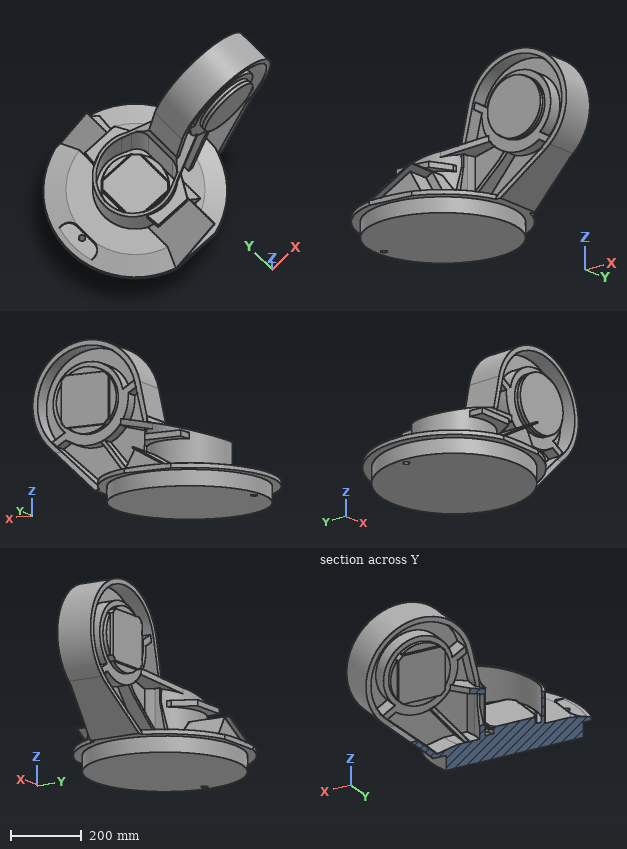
import cadquery as cq
import math

DRUM_RADIUS = 467.0 / 2
FLANGE_BOTTOM = 47.0
RIM_TOP = 60.0
FLANGE_TOP = 74.0
FLANGE_RADIUS = 259.0
PLATEAU_RADIUS = 196.0
FLANGE_FLAT = 248.0

POCKET_FLOOR = 64.0
POCKET_INNER_X = -194.0
POCKET_HALF_WIDTH = 66.0
POCKET_CORNER = 31.5
PIN_HOLE_DIAMETER = 18.0
PIN_HOLE_X = -208.0

CUP_RADIUS = 120.5
BORE_RADIUS = 110.0
BORE_FLAT_X = 98.0
BORE_TAPER_ANGLE = 22.5
BORE_CORNER = 44.0
BORE_FLOOR = 81.0
RIM_ANGLE = 15.0
RIM_LOW_Z = 169.0

MOTOR_FLANGE_RADIUS = 193.0 / 2
MOTOR_FLANGE_HEIGHT = 12.0
MOTOR_SQUARE_HEIGHT = 9.0
CUP_MOTOR_SQUARE = 156.0
CUP_MOTOR_CORNER = 20.5
CUP_MOTOR_BEVEL = 4.0
ARM_MOTOR_SQUARE = 151.0
ARM_MOTOR_CORNER = 14.0
CAP_BASE_RADIUS = 185.0 / 2
CAP_BASE_HEIGHT = 10.0
CAP_RADIUS = 186.0 / 2
CAP_HEIGHT = 11.0

LUG_BOTTOM = 159.0
LUG_TOP = 177.0
LUG_REACH = 150.0
LUG_LEFT_ROOT = (-56.5, -106.5)
LUG_LEFT_TIP_X = -53.0
LUG_RIGHT_TIP_X = 62.0
LUG_RIGHT_ROOT = (98.5, -84.5)

HEAD_X = 300.0
HEAD_Z = 315.0
HEAD_RADIUS = 175.0
RECESS_RADIUS = 158.5
ARM_HALF_WIDTH = 56.0
ARM_FOOT_HALF_WIDTH = 81.5
FLARE_TOP = 174.0
ARM_LEFT_X = 106.0
ARM_KNEE_Z = 244.0
ARM_ROOT_X = 88.0
ARM_ROOT_TOP = 220.0
ARM_FOOT_X = 263.0
RECESS_LEFT_X = 114.0
RECESS_KNEE = (120.5, 244.0)
RECESS_FOOT_X = 236.5
RECESS_BEND_Z = 212.0
WEB_HALF = 9.0
UPPER_WEB_HALF = 3.0
THROAT_RADIUS = 37.0
THROAT_START_X = 84.5
THROAT_END = (107.0, 251.0)
THROAT_DEPTH = 15.0
THROAT_RIM_HALF_WIDTH = 84.5

BOSS_HALF = 47.0
BOSS_UPPER_RADIUS = 226.0 / 2
BOSS_LOWER_RADIUS = 128.5
CROSS_RIB_ANGLE = -30.0
CROSS_RIB_BOTTOM = -56.0
CROSS_RIB_TOP = -35.0

SLANT_PLATE_THICKNESS = 17.5
SLANT_PLATE_START_X = 65.0
SLANT_PLATE_END_X = 216.5
SLANT_PLATE_ANGLE = 22.5
DIAGONAL_RIB_FOOT_X = 145.0
DIAGONAL_RIB_ANGLE = 50.0
DIAGONAL_RIB_THICKNESS = 12.0
DIAGONAL_RIB_SETBACK = 10.0

RAMP_ANGLE = 30.0
RAMP_SKIN = 4.0
FRONT_RAMP_X = -78.0
FRONT_RAMP_TOP_X = 71.0
FRONT_RAMP_FULL_BLOCK = 148.0
FRONT_RAMP_SHORT_BLOCK = 223.0
FRONT_RAMP_LEG_SETBACK = 26.0
BACK_RAMP_X = -58.0
BACK_RAMP_TOP_X = 47.0
BACK_RAMP_BLOCK = 231.0

BIG = 734.0


def xz_prism(sketch, y_low, y_high):
    """Extrude a wire drawn on the XZ plane between two Y values."""
    return sketch.extrude(-(y_high - y_low)).translate((0, y_low, 0))


def xz_polygon(points, y_low, y_high):
    return xz_prism(cq.Workplane("XZ").polyline(points).close(), y_low, y_high)


def tangent_point(point, centre, radius, side):
    """Point where a line from `point` touches a circle; side is +1 or -1."""
    dx = point[0] - centre[0]
    dz = point[1] - centre[1]
    angle = math.atan2(dz, dx) + side * math.acos(radius / math.hypot(dx, dz))
    return (centre[0] + radius * math.cos(angle), centre[1] + radius * math.sin(angle))


def head_outline(foot_points, knee, right_foot, centre, radius):
    """Outline that rises on the left, wraps the head and returns to the right foot."""
    left = tangent_point(knee, centre, radius, -1)
    right = tangent_point(right_foot, centre, radius, 1)
    return (
        cq.Workplane("XZ")
        .polyline(foot_points + [knee, left])
        .threePointArc((centre[0], centre[1] + radius), right)
        .lineTo(*right_foot)
        .close()
    )


def rim_z(x):
    """Height of the slanted cup rim."""
    return RIM_LOW_Z + (x + CUP_RADIUS) * math.tan(math.radians(RIM_ANGLE))


def make_base():
    profile = [
        (0, 0),
        (DRUM_RADIUS, 0),
        (DRUM_RADIUS, FLANGE_BOTTOM),
        (FLANGE_RADIUS, FLANGE_BOTTOM),
        (FLANGE_RADIUS, RIM_TOP),
        (PLATEAU_RADIUS, FLANGE_TOP),
        (0, FLANGE_TOP),
    ]
    body = cq.Workplane("XZ").polyline(profile).close().revolve(360, (0, 0, 0), (0, 1, 0))
    return body.intersect(cq.Workplane("XY").box(BIG, 2 * FLANGE_FLAT, BIG))


def make_flange_pocket():
    length = FLANGE_RADIUS + POCKET_INNER_X
    return (
        cq.Workplane("XY", origin=(POCKET_INNER_X - length / 2, 0, POCKET_FLOOR))
        .rect(length, 2 * POCKET_HALF_WIDTH)
        .extrude(FLANGE_TOP)
        .edges("|Z and >X")
        .fillet(POCKET_CORNER)
    )


def make_cup():
    cup = cq.Workplane("XY", origin=(0, 0, FLANGE_BOTTOM)).circle(CUP_RADIUS).extrude(BIG)
    rim = [
        (-CUP_RADIUS, 0),
        (CUP_RADIUS, 0),
        (CUP_RADIUS, rim_z(CUP_RADIUS)),
        (-CUP_RADIUS, RIM_LOW_Z),
    ]
    return cup.intersect(xz_polygon(rim, -CUP_RADIUS, CUP_RADIUS))


def make_bore():
    """Round bore whose arm side narrows along two tangents to a flat with rounded corners."""
    angle = math.radians(BORE_TAPER_ANGLE)
    start = (BORE_RADIUS * math.sin(angle), BORE_RADIUS * math.cos(angle))
    flat_y = start[1] - (BORE_FLAT_X - start[0]) * math.tan(angle)
    return (
        cq.Workplane("XY", origin=(0, 0, BORE_FLOOR))
        .moveTo(*start)
        .threePointArc((-BORE_RADIUS, 0), (start[0], -start[1]))
        .lineTo(BORE_FLAT_X, -flat_y)
        .lineTo(BORE_FLAT_X, flat_y)
        .close()
        .extrude(BIG)
        .edges("|Z and >X")
        .fillet(BORE_CORNER)
    )


def motor_flange(plane):
    return plane.circle(MOTOR_FLANGE_RADIUS).extrude(MOTOR_FLANGE_HEIGHT)


def motor_square(plane, size):
    return plane.rect(size, size).extrude(MOTOR_FLANGE_HEIGHT + MOTOR_SQUARE_HEIGHT)


def make_cup_motor():
    plane = cq.Workplane("XY", origin=(0, 0, BORE_FLOOR))
    square = motor_square(plane, CUP_MOTOR_SQUARE).edges("|Z").chamfer(CUP_MOTOR_CORNER)
    return motor_flange(plane).union(square.faces(">Z").edges().chamfer(CUP_MOTOR_BEVEL))


def make_lug():
    outline = [
        (LUG_LEFT_ROOT[0], 0),
        LUG_LEFT_ROOT,
        (LUG_LEFT_TIP_X, -LUG_REACH),
        (LUG_RIGHT_TIP_X, -LUG_REACH),
        LUG_RIGHT_ROOT,
        (LUG_RIGHT_ROOT[0], 0),
    ]
    lug = cq.Workplane("XY", origin=(0, 0, LUG_BOTTOM)).polyline(outline).close()
    return lug.extrude(LUG_TOP - LUG_BOTTOM)


def arm_envelope(setback):
    """Cross-section limits of the arm: straight above, flared towards the foot."""
    top = ARM_HALF_WIDTH - setback
    foot = ARM_FOOT_HALF_WIDTH - setback
    section = [
        (-foot, FLANGE_BOTTOM),
        (foot, FLANGE_BOTTOM),
        (top, FLARE_TOP),
        (top, BIG),
        (-top, BIG),
        (-top, FLARE_TOP),
    ]
    return cq.Workplane("YZ").polyline(section).close().extrude(BIG)


def make_arm():
    outer = head_outline(
        [(ARM_ROOT_X, FLANGE_BOTTOM), (ARM_ROOT_X, ARM_ROOT_TOP), (ARM_LEFT_X, ARM_ROOT_TOP)],
        (ARM_LEFT_X, ARM_KNEE_Z),
        (ARM_FOOT_X, FLANGE_BOTTOM),
        (HEAD_X, HEAD_Z),
        HEAD_RADIUS,
    )
    return xz_prism(outer, -BIG, BIG).intersect(arm_envelope(0))


def make_recess(y_low, y_high):
    inner = head_outline(
        [(RECESS_LEFT_X, FLANGE_BOTTOM), (RECESS_LEFT_X, RECESS_BEND_Z)],
        RECESS_KNEE,
        (RECESS_FOOT_X, FLANGE_BOTTOM),
        (HEAD_X, HEAD_Z),
        RECESS_RADIUS,
    )
    return xz_prism(inner, y_low, y_high)


def head_slab(low, high):
    """Slab across the head, tilted with the cross rib, between two offsets from the head axis."""
    slab = cq.Workplane("XZ").center(0, (low + high) / 2).rect(BIG, high - low).extrude(BOSS_HALF, both=True)
    return slab.rotate((0, 0, 0), (0, 1, 0), -CROSS_RIB_ANGLE).translate((HEAD_X, 0, HEAD_Z))


def head_disc(radius):
    return cq.Workplane("XZ", origin=(HEAD_X, 0, HEAD_Z)).circle(radius).extrude(BOSS_HALF, both=True)


def make_boss():
    upper = head_disc(BOSS_UPPER_RADIUS).intersect(head_slab(CROSS_RIB_BOTTOM, BIG))
    lower = head_disc(BOSS_LOWER_RADIUS).intersect(head_slab(-BIG, CROSS_RIB_TOP))
    rib = head_slab(CROSS_RIB_BOTTOM, CROSS_RIB_TOP).intersect(make_recess(-BIG, BIG))
    return upper.union(lower).union(rib)


def make_arm_motor():
    front = cq.Workplane("XZ", origin=(HEAD_X, -BOSS_HALF, HEAD_Z))
    back = cq.Workplane("XZ", origin=(HEAD_X, BOSS_HALF, HEAD_Z)).transformed(rotate=(180, 0, 0))
    cap = front.circle(CAP_BASE_RADIUS).extrude(CAP_BASE_HEIGHT)
    cap = cap.union(cap.faces("<Y").workplane().circle(CAP_RADIUS).extrude(CAP_HEIGHT))
    square = motor_square(back, ARM_MOTOR_SQUARE).edges("|Y").chamfer(ARM_MOTOR_CORNER)
    return cap.union(motor_flange(back)).union(square)


def make_slant_plate():
    angle = math.radians(SLANT_PLATE_ANGLE)
    x0 = SLANT_PLATE_START_X
    y0 = math.sqrt(CUP_RADIUS**2 - x0**2)
    x1 = SLANT_PLATE_END_X
    y1 = y0 - (x1 - x0) * math.tan(angle)
    plan = [(x0, y0), (x1, y1), (x1, -y1), (x0, -y0)]
    drop = SLANT_PLATE_THICKNESS / math.cos(math.radians(RIM_ANGLE))
    strip = [(x0, rim_z(x0)), (x1, rim_z(x1)), (x1, rim_z(x1) - drop), (x0, rim_z(x0) - drop)]
    return xz_polygon(strip, -CUP_RADIUS, CUP_RADIUS).intersect(
        cq.Workplane("XY").polyline(plan).close().extrude(BIG)
    )


def make_diagonal_rib():
    rib = (
        cq.Workplane("XZ")
        .center(0, -DIAGONAL_RIB_THICKNESS / 2)
        .rect(BIG / 2, DIAGONAL_RIB_THICKNESS)
        .extrude(BIG, both=True)
        .rotate((0, 0, 0), (0, 1, 0), -DIAGONAL_RIB_ANGLE)
        .translate((DIAGONAL_RIB_FOOT_X, 0, FLANGE_TOP))
    )
    below_head = cq.Workplane("XY").box(HEAD_X, BIG, HEAD_Z - BOSS_UPPER_RADIUS, centered=(False, True, False))
    return rib.intersect(arm_envelope(DIAGONAL_RIB_SETBACK)).intersect(below_head)


def make_throat():
    """Concave fillet between the slanted cup rim and the arm wall, wider at the rim."""
    start = (THROAT_START_X, rim_z(THROAT_START_X))
    sketch = (
        cq.Workplane("XZ")
        .moveTo(*start)
        .radiusArc(THROAT_END, -THROAT_RADIUS)
        .lineTo(THROAT_END[0], ARM_ROOT_TOP - THROAT_DEPTH)
        .lineTo(THROAT_START_X, ARM_ROOT_TOP - THROAT_DEPTH)
        .close()
    )
    plan = [
        (THROAT_START_X, THROAT_RIM_HALF_WIDTH),
        (THROAT_END[0], ARM_HALF_WIDTH),
        (THROAT_END[0], -ARM_HALF_WIDTH),
        (THROAT_START_X, -THROAT_RIM_HALF_WIDTH),
    ]
    return xz_prism(sketch, -CUP_RADIUS, CUP_RADIUS).intersect(
        cq.Workplane("XY").polyline(plan).close().extrude(BIG)
    )


def make_ramp(foot_x, top_x, y_edge, blocks):
    """Ramp skin out to the flange flat, on blocks given as (Y reach, setback of the leg)."""
    slope = math.tan(math.radians(RAMP_ANGLE))
    top = (top_x, RIM_TOP + (top_x - foot_x) * slope)
    nx = RAMP_SKIN * math.sin(math.radians(RAMP_ANGLE))
    nz = RAMP_SKIN * math.cos(math.radians(RAMP_ANGLE))
    skin = [(foot_x, RIM_TOP), top, (top[0] + nx, top[1] - nz), (foot_x + nx, RIM_TOP - nz)]
    ramp = xz_polygon(skin, min(0, y_edge), max(0, y_edge))
    for reach, setback in blocks:
        leg_x = top[0] - setback * math.cos(math.radians(RAMP_ANGLE))
        leg_z = top[1] - setback * math.sin(math.radians(RAMP_ANGLE))
        base_x = leg_x + (leg_z - FLANGE_BOTTOM) * slope
        block = [(foot_x, RIM_TOP), (leg_x, leg_z), (base_x, FLANGE_BOTTOM), (foot_x, FLANGE_BOTTOM)]
        ramp = ramp.union(xz_polygon(block, min(0, reach), max(0, reach)))
    return ramp


arm = make_arm()
upper_head = head_slab(CROSS_RIB_TOP, BIG)
for side in (-1, 1):
    arm = arm.cut(make_recess(*sorted((side * WEB_HALF, side * BIG))))
    arm = arm.cut(make_recess(*sorted((side * UPPER_WEB_HALF, side * BIG))).intersect(upper_head))

body = make_base()
body = body.union(make_cup())
front_blocks = [(-FRONT_RAMP_FULL_BLOCK, 0), (-FRONT_RAMP_SHORT_BLOCK, FRONT_RAMP_LEG_SETBACK)]
body = body.union(make_ramp(FRONT_RAMP_X, FRONT_RAMP_TOP_X, -FLANGE_FLAT, front_blocks))
body = body.union(make_ramp(BACK_RAMP_X, BACK_RAMP_TOP_X, FLANGE_FLAT, [(BACK_RAMP_BLOCK, 0)]))
body = body.union(make_lug()).union(make_lug().mirror("XZ"))
body = body.union(arm).union(make_boss()).union(make_slant_plate()).union(make_diagonal_rib())
body = body.union(make_throat())
body = body.cut(make_bore()).union(make_cup_motor()).union(make_arm_motor())
body = body.cut(make_flange_pocket())
body = body.cut(cq.Workplane("XY").center(PIN_HOLE_X, 0).circle(PIN_HOLE_DIAMETER / 2).extrude(BIG))

result = body